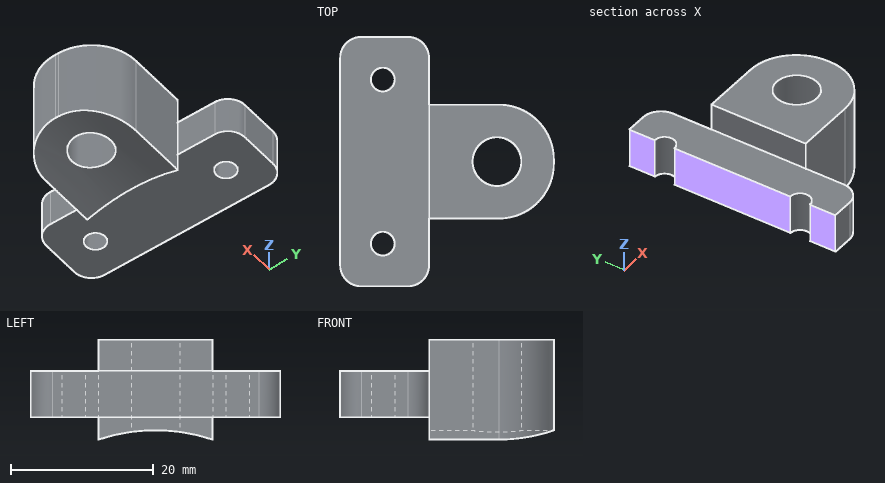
import cadquery as cq
import math

plate_width = 12.5
plate_length = 35.0
plate_thickness = 6.5
plate_corner_radius = 3.0
screw_hole_diameter = 3.3
screw_hole_x = 6.0
screw_hole_spacing = 23.0

overall_length = 30.0
boss_width = 16.0
boss_height = 14.04
boss_rise_above_plate = 4.4
boss_corner_radius = 7.75
bore_diameter = 6.8
bore_x = 22.0

saddle_radius = 25.0

boss_length = overall_length - plate_width
boss_top_z = plate_thickness + boss_rise_above_plate
boss_bottom_z = boss_top_z - boss_height
saddle_axis_z = boss_bottom_z - math.sqrt(saddle_radius**2 - (boss_width / 2) ** 2)


def make_plate():
    """Rounded plate with two screw holes, symmetric about Y = 0."""
    half_spacing = screw_hole_spacing / 2
    plate = (
        cq.Workplane("XY")
        .box(plate_width, plate_length, plate_thickness, centered=(False, True, False))
        .edges("|Z")
        .fillet(plate_corner_radius)
    )
    screw_holes = (
        cq.Workplane("XY")
        .pushPoints([(screw_hole_x, -half_spacing), (screw_hole_x, half_spacing)])
        .circle(screw_hole_diameter / 2)
        .extrude(plate_thickness)
    )
    return plate.cut(screw_holes)


def make_boss():
    """Block with a rounded far end, a vertical bore and a concave underside."""
    boss = (
        cq.Workplane("XY", origin=(plate_width, 0, boss_bottom_z))
        .box(boss_length, boss_width, boss_height, centered=(False, True, False))
        .edges("|Z and >X")
        .fillet(boss_corner_radius)
    )
    bore = (
        cq.Workplane("XY", origin=(bore_x, 0, boss_bottom_z))
        .circle(bore_diameter / 2)
        .extrude(boss_height)
    )
    saddle = (
        cq.Workplane("YZ", origin=(plate_width, 0, saddle_axis_z))
        .circle(saddle_radius)
        .extrude(boss_length)
    )
    return boss.cut(bore).cut(saddle)


result = make_plate().union(make_boss())